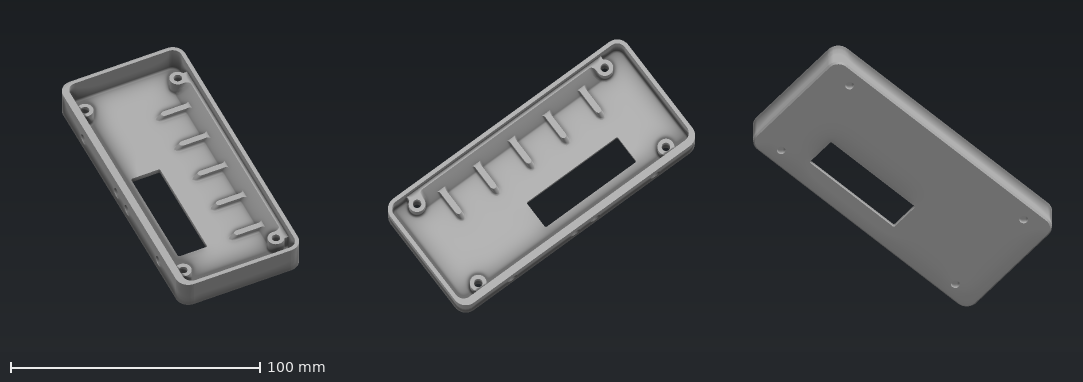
import cadquery as cq
length = 119.0
width = 53.9
height = 13.0
corner_radius = 5.5
bottom_chamfer = 0.7
draft_angle = 0.5

floor_top = 2.0
side_wall = 1.7
back_wall = 1.7
front_wall = 3.1
cavity_radius = corner_radius - side_wall
cavity_back = width / 2 - back_wall
cavity_front = -width / 2 + front_wall
cavity_width = cavity_back - cavity_front
cavity_mid_y = (cavity_back + cavity_front) / 2
inner_fillet = 1.0

base_z = floor_top / 2
tolerance = 0.01

boss_top = 8.1
boss_height = boss_top - base_z
boss_diameter = 6.8
screw_hole_diameter = 3.5
boss_x = 47.0
boss_y = 20.5

ramp_half_length = 48.5
ramp_top_y = 24.0
ramp_foot_y = ramp_top_y - (boss_top - floor_top)
ramp_boss_fillet = 1.8
web_corner_fillet = 0.5

rib_count = 5
rib_pitch = 17.5
rib_width = 2.5
rib_top = 4.4
rib_front_top_y = 7.6
rib_edge_radius = 1.2

window_left = -10.7
window_right = 34.9
window_front = -17.0
window_back = -4.2
window_radius = 0.7

wall_hole_diameter = 4.5
wall_hole_z = 6.2
wall_hole_xs = (-34.6, -3.0, 7.0, 37.0)


def drafted_block(size_x, size_y, radius, mid_y, depth):
    """Rounded block that hangs down from the rim and narrows with the draft."""
    outline = cq.Sketch().rect(size_x, size_y).vertices().fillet(radius)
    return cq.Workplane("XY", origin=(0, mid_y, height)).placeSketch(outline).extrude(-depth, taper=draft_angle)


def make_tray():
    body = drafted_block(length, width, corner_radius, 0, height)
    body = body.faces("<Z").edges().chamfer(bottom_chamfer)
    cavity = drafted_block(
        length - 2 * side_wall, cavity_width, cavity_radius, cavity_mid_y, height - floor_top
    )
    return body.cut(cavity)


def side_profile(points, thickness, center_x=0.0):
    """Prism along X with the given (y, z) outline."""
    plane = cq.Workplane("YZ", origin=(center_x, 0, 0))
    return plane.polyline(points).close().extrude(thickness / 2, both=True)


def make_ramp():
    wall_y = cavity_back + back_wall / 2
    outline = [
        (wall_y, base_z),
        (ramp_foot_y, base_z),
        (ramp_foot_y, floor_top),
        (ramp_top_y, boss_top),
        (wall_y, boss_top),
    ]
    return side_profile(outline, 2 * ramp_half_length)


def make_rib(center_x):
    front_foot_y = rib_front_top_y - (rib_top - base_z)
    outline = [
        (ramp_top_y, base_z),
        (front_foot_y, base_z),
        (rib_front_top_y, rib_top),
        (ramp_top_y, rib_top),
    ]
    rib = side_profile(outline, rib_width, center_x)
    return rib.faces("<Y").edges("not |X").fillet(rib_edge_radius)


def make_boss(x, y):
    return cq.Workplane("XY", origin=(x, y, base_z)).circle(boss_diameter / 2).extrude(boss_height)


def make_boss_web(x_side):
    """Block that carries a back boss straight to the back wall."""
    inner_x = boss_x - boss_diameter / 2
    mid_x = x_side * (inner_x + ramp_half_length) / 2
    wall_y = cavity_back + back_wall / 2
    return (
        cq.Workplane("XY", origin=(mid_x, (boss_y + wall_y) / 2, base_z))
        .rect(ramp_half_length - inner_x, wall_y - boss_y)
        .extrude(boss_height)
    )


def ramp_zone(half_length, top_z):
    """Selects edges centred over the ramp, above the floor and below top_z."""
    return cq.selectors.BoxSelector(
        (-half_length, ramp_foot_y, floor_top + tolerance),
        (half_length, ramp_top_y, top_z - tolerance),
    )


def web_zone(x_side):
    """Selects the upright corners at the outer side of a back boss web."""
    outer_x = x_side * ramp_half_length
    return cq.selectors.BoxSelector(
        (outer_x - 10 * tolerance, boss_y, floor_top + tolerance),
        (outer_x + 10 * tolerance, width / 2 - back_wall / 2, boss_top - tolerance),
    )


def floor_zone():
    """Selects the cavity floor."""
    return cq.selectors.BoxSelector(
        (-length, -width, floor_top - tolerance),
        (length, width, floor_top + tolerance),
    )


tray = make_tray().union(make_ramp())
for x_side in (-1, 1):
    tray = tray.union(make_boss_web(x_side))
    for y_side in (-1, 1):
        tray = tray.union(make_boss(x_side * boss_x, y_side * boss_y))
tray = tray.clean()
tray = tray.edges(ramp_zone(boss_x, boss_top)).edges("not |Z").fillet(ramp_boss_fillet)
tray = tray.edges(web_zone(-1) + web_zone(1)).fillet(web_corner_fillet)

for index in range(rib_count):
    tray = tray.union(make_rib((index - (rib_count - 1) / 2) * rib_pitch))
rib_reach = (rib_count - 1) / 2 * rib_pitch + rib_width
rib_ramp_corners = tray.edges(ramp_zone(rib_reach, rib_top)).edges("not |Y").vals()
floor_corners = tray.faces(floor_zone()).edges().vals()
tray = tray.newObject(floor_corners + rib_ramp_corners).fillet(inner_fillet)

window = (
    cq.Workplane("XY")
    .center((window_left + window_right) / 2, (window_front + window_back) / 2)
    .rect(window_right - window_left, window_back - window_front)
    .extrude(height)
    .edges("|Z")
    .fillet(window_radius)
)
screw_holes = (
    cq.Workplane("XY")
    .rect(2 * boss_x, 2 * boss_y, forConstruction=True)
    .vertices()
    .circle(screw_hole_diameter / 2)
    .extrude(height)
)
wall_holes = (
    cq.Workplane("XZ", origin=(0, cavity_front + inner_fillet, wall_hole_z))
    .pushPoints([(x, 0) for x in wall_hole_xs])
    .circle(wall_hole_diameter / 2)
    .extrude(2 * front_wall)
)
result = tray.cut(window).cut(screw_holes).cut(wall_holes)